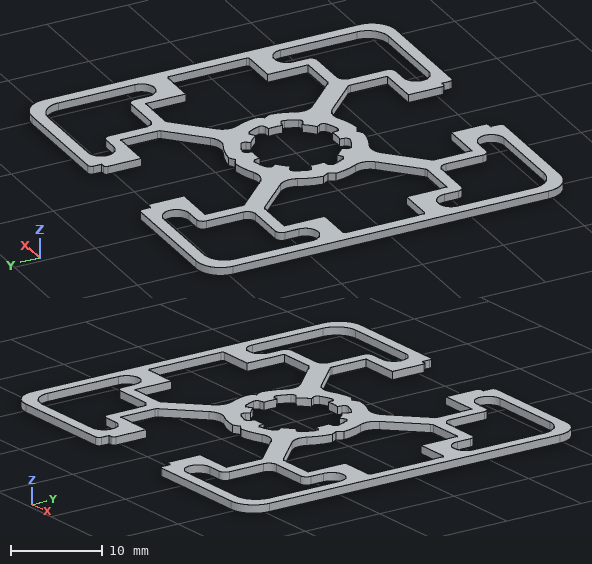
import cadquery as cq
import math

side = 45.0
thickness = 1.0
corner_radius = 3.0
wall = 1.5
half_side = side / 2
wall_inner = half_side - wall

mouth_half = 5.05
lip_inner = 16.45
undercut_half = 10.05
mouth_corner_radius = 0.25
undercut_corner_radius = 0.5
lip_step = 0.75
lip_outer_radius = 0.5
lip_inner_radius = 0.35

web_width = 2.35
ring_radius = 8.0
web_root_radius = 2.0
notch_half = 0.85
notch_depth = 0.5

tooth_tip_radius = 5.0
tooth_root_radius = 6.08
tooth_half_angle = 10.0
tooth_count = 8
tooth_root_fillet = 0.5

cavity_step = 17.9
cavity_floor = undercut_half + wall
arm_end = 7.42
cavity_corner_radius = 2.55
cavity_step_radius = 0.8
cavity_floor_radius = 1.0
arm_radius = (wall_inner - cavity_step) / 2

pick_reach = 0.05


def turned(body, angle):
    """Body rotated about the central axis."""
    return body.rotate((0, 0, 0), (0, 0, 1), angle)


def polar(radius, angle):
    """Point at a radius and an angle in degrees."""
    return radius * math.cos(math.radians(angle)), radius * math.sin(math.radians(angle))


def round_corner(body, x, y, radius):
    """Fillet the upright edge at (x, y)."""
    low = (x - pick_reach, y - pick_reach, -pick_reach)
    high = (x + pick_reach, y + pick_reach, thickness + pick_reach)
    corner = cq.selectors.BoxSelector(low, high)
    return body.edges("|Z").edges(corner).fillet(radius)


def chamber():
    """Space of the +Y slot, from the ring out to the inside of the wall."""
    web_offset = web_width / math.sqrt(2)
    shoulder = undercut_half + web_offset
    right = [
        (0, web_offset),
        (undercut_half, shoulder),
        (undercut_half, lip_inner),
        (mouth_half, lip_inner),
        (mouth_half, wall_inner),
    ]
    left = [(-x, y) for x, y in reversed(right[1:])]
    space = cq.Workplane("XY").polyline(right + left).close().extrude(thickness)
    space = space.cut(cq.Workplane("XY").circle(ring_radius).extrude(thickness))
    space = space.edges("|Z").edges("<Y").fillet(web_root_radius)
    for x_side in (-1, 1):
        space = round_corner(space, x_side * undercut_half, shoulder, undercut_corner_radius)
    return space


def closed_chamber():
    """Slot chamber whose outer corners are rounded into the unbroken wall."""
    return chamber().edges("|Z").edges(">Y").fillet(mouth_corner_radius)


def ring_notch():
    """Small V groove on the +Y side of the ring."""
    points = [(0, ring_radius - notch_depth), (notch_half, ring_radius), (-notch_half, ring_radius)]
    return cq.Workplane("XY").polyline(points).close().extrude(thickness)


def corner_cavity():
    """L-shaped hollow in the +X +Y corner, with a round end on each arm."""
    arm_middle = cavity_step + arm_radius
    arc_start = arm_end + arm_radius
    cavity = (
        cq.Workplane("XY")
        .moveTo(wall_inner, wall_inner)
        .lineTo(arc_start, wall_inner)
        .threePointArc((arm_end, arm_middle), (arc_start, cavity_step))
        .lineTo(cavity_floor, cavity_step)
        .lineTo(cavity_floor, cavity_floor)
        .lineTo(cavity_step, cavity_floor)
        .lineTo(cavity_step, arc_start)
        .threePointArc((arm_middle, arm_end), (wall_inner, arc_start))
        .close()
        .extrude(thickness)
    )
    cavity = round_corner(cavity, wall_inner, wall_inner, cavity_corner_radius)
    cavity = round_corner(cavity, cavity_floor, cavity_floor, cavity_floor_radius)
    cavity = round_corner(cavity, cavity_floor, cavity_step, cavity_step_radius)
    return round_corner(cavity, cavity_step, cavity_floor, cavity_step_radius)


def core_bore():
    """Round bore left open between teeth that point at the centre."""
    bore = cq.Workplane("XY").circle(tooth_root_radius).extrude(thickness)
    tip_circle = cq.Workplane("XY").circle(tooth_tip_radius).extrude(thickness)
    beyond_root = 2 * tooth_root_radius
    wedge = [(0, 0), polar(beyond_root, -tooth_half_angle), polar(beyond_root, tooth_half_angle)]
    tooth = cq.Workplane("XY").polyline(wedge).close().extrude(thickness).cut(tip_circle)
    tooth_angles = [index * 360 / tooth_count for index in range(tooth_count)]
    for angle in tooth_angles:
        bore = bore.cut(turned(tooth, angle))
    for angle in tooth_angles:
        for flank in (-tooth_half_angle, tooth_half_angle):
            bore = round_corner(bore, *polar(tooth_root_radius, angle + flank), tooth_root_fillet)
    return bore


section = cq.Workplane("XY").rect(side, side).extrude(thickness).edges("|Z").fillet(corner_radius)
section = section.cut(core_bore())

for quarter_angle in (0, 90, 180, 270):
    section = section.cut(turned(corner_cavity(), quarter_angle))
    section = section.cut(turned(ring_notch(), quarter_angle))

for closed_angle in (90, 270):
    section = section.cut(turned(closed_chamber(), closed_angle))

step_half = mouth_half + lip_step
mouth = cq.Workplane("XY").rect(2 * step_half, wall).extrude(thickness)
mouth = mouth.translate((0, half_side - wall / 2, 0))
for open_angle, y_side in ((0, 1), (180, -1)):
    section = section.cut(turned(chamber(), open_angle))
    section = section.cut(turned(mouth, open_angle))
    for x_side in (-1, 1):
        section = round_corner(section, x_side * step_half, y_side * half_side, lip_outer_radius)
        section = round_corner(section, x_side * mouth_half, y_side * wall_inner, lip_inner_radius)

result = section